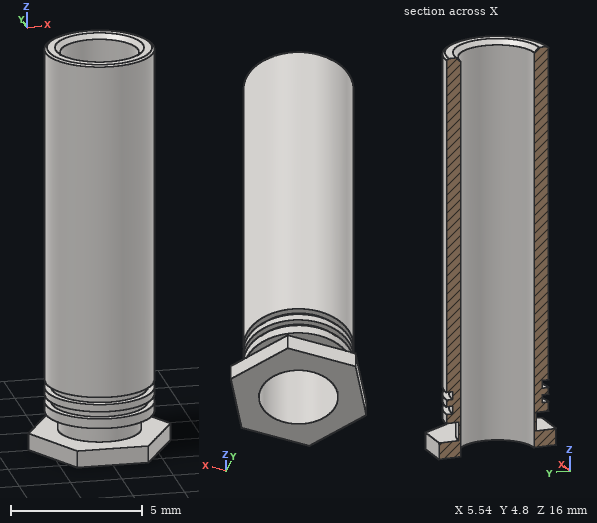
import cadquery as cq
import math

total_height = 16.0
hex_across_flats = 4.8
hex_thickness = 0.67

barrel_diameter = 4.2
groove_diameter = 3.7
neck_diameter = 3.18
bore_diameter = 3.0

neck_top = 1.4
lower_collar_top = 1.78
groove_height = 0.29
groove_pitch = 0.58
groove_count = 2

rim_chamfer_width = 0.1
rim_chamfer_height = 0.06
countersink_size = 0.2


def cylinder(diameter, bottom, top):
    """Solid cylinder on the Z axis between two heights."""
    return cq.Workplane("XY").workplane(offset=bottom).circle(diameter / 2).extrude(top - bottom)


def hex_head():
    """Hexagon with two corners on the X axis."""
    across_corners = hex_across_flats / math.cos(math.pi / 6)
    return cq.Workplane("XY").polygon(6, across_corners).extrude(hex_thickness)


def barrel():
    """Cylindrical barrel with a chamfered top rim and two grooves near its base."""
    body = cylinder(barrel_diameter, neck_top, total_height)
    body = body.faces(">Z").edges().chamfer(rim_chamfer_height, rim_chamfer_width)
    for index in range(groove_count):
        bottom = lower_collar_top + index * groove_pitch
        top = bottom + groove_height
        groove = cylinder(barrel_diameter, bottom, top).cut(cylinder(groove_diameter, bottom, top))
        body = body.cut(groove)
    return body


neck = cylinder(neck_diameter, hex_thickness, neck_top)
bore = cylinder(bore_diameter, 0, total_height)

result = hex_head().union(neck).union(barrel()).cut(bore)

result = result.faces(">Z").edges(cq.selectors.RadiusNthSelector(0)).chamfer(countersink_size)